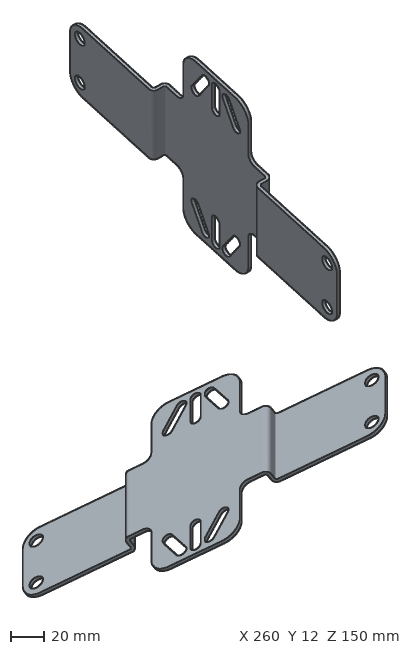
import cadquery as cq

length = 260.0
height = 150.0
depth = 12.0
thickness = 2.5

arm_height = 60.0
tab_width = 63.5
outer_corner_radius = 12.7
inner_corner_radius = 6.2

bend_inner_radius = 1.3
bend_outer_radius = bend_inner_radius + thickness
web_outer_x = 51.7
web_inner_x = web_outer_x - thickness

hole_diameter = 9.5
hole_spacing_x = 240.8
hole_spacing_z = 38.2

slot_width = 7.3
slot_length = 27.0
slot_row_z = 57.7
side_slot_x = 15.0
side_slot_tilt = 30.0

half_length = length / 2
half_depth = depth / 2
arm_back_y = -half_depth + thickness
panel_front_y = half_depth - thickness


def make_joggled_strip():
    """Bent sheet of full height: raised centre panel, two webs and two arms."""
    strip = (
        cq.Workplane("XY")
        .moveTo(-half_length, -half_depth)
        .lineTo(-web_inner_x, -half_depth)
        .lineTo(-web_inner_x, panel_front_y)
        .lineTo(web_inner_x, panel_front_y)
        .lineTo(web_inner_x, -half_depth)
        .lineTo(half_length, -half_depth)
        .lineTo(half_length, arm_back_y)
        .lineTo(web_outer_x, arm_back_y)
        .lineTo(web_outer_x, half_depth)
        .lineTo(-web_outer_x, half_depth)
        .lineTo(-web_outer_x, arm_back_y)
        .lineTo(-half_length, arm_back_y)
        .close()
        .extrude(height / 2, both=True)
    )
    outside_bends = [(web_inner_x, -half_depth), (web_outer_x, half_depth)]
    inside_bends = [(web_inner_x, panel_front_y), (web_outer_x, arm_back_y)]
    strip = round_bends(strip, outside_bends, bend_outer_radius)
    return round_bends(strip, inside_bends, bend_inner_radius)


def round_bends(strip, corners, radius):
    """Fillet the upright edges at the given XY corners and their mirror images."""
    for x, y in corners:
        for side in (-1, 1):
            nearest_edge = cq.selectors.NearestToPointSelector((side * x, y, 0))
            strip = strip.edges(nearest_edge).fillet(radius)
    return strip


def make_cross_prism():
    """Cross outline with rounded corners, extruded through the full depth."""
    arms = (
        cq.Workplane("XZ")
        .rect(length, arm_height)
        .extrude(half_depth, both=True)
        .edges("|Y")
        .fillet(outer_corner_radius)
    )
    tabs = (
        cq.Workplane("XZ")
        .rect(tab_width, height)
        .extrude(half_depth, both=True)
        .edges("|Y")
        .fillet(outer_corner_radius)
    )
    cross = arms.union(tabs)
    for side_x in (-1, 1):
        for side_z in (-1, 1):
            inner_corner = (side_x * tab_width / 2, 0, side_z * arm_height / 2)
            nearest_edge = cq.selectors.NearestToPointSelector(inner_corner)
            cross = cross.edges(nearest_edge).fillet(inner_corner_radius)
    return cross


def make_holes():
    """Cutters for the four round holes."""
    return (
        cq.Workplane("XZ")
        .rarray(hole_spacing_x, hole_spacing_z, 2, 2)
        .circle(hole_diameter / 2)
        .extrude(depth, both=True)
    )


def make_slot(x, z, angle):
    """Cutter for one slot centred at (x, z), its long axis at angle from +X."""
    return (
        cq.Workplane("XZ")
        .center(x, z)
        .slot2D(slot_length, slot_width, angle)
        .extrude(depth, both=True)
    )


result = make_joggled_strip().intersect(make_cross_prism()).cut(make_holes())

for tab_side in (-1, 1):
    for column in (-1, 0, 1):
        slot_angle = 90 + tab_side * column * side_slot_tilt
        result = result.cut(make_slot(column * side_slot_x, tab_side * slot_row_z, slot_angle))